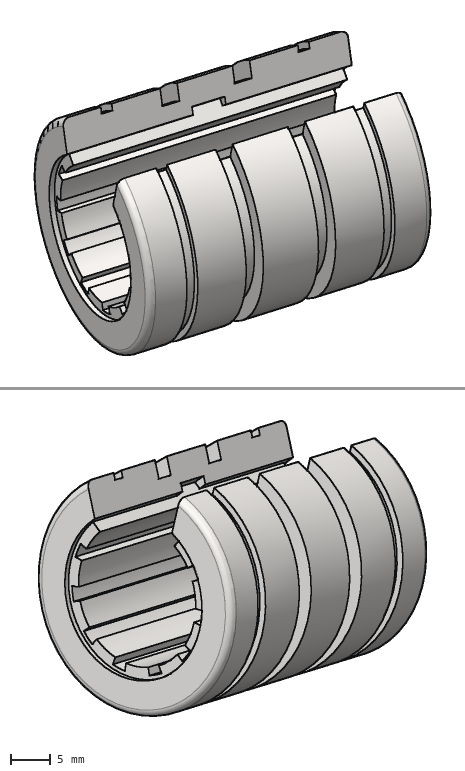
import cadquery as cq
import math

length = 41.3
outer_diameter = 31.75
outer_radius = outer_diameter / 2
bore_radius = 11.1
end_fillet = 1.0
opening_half_angle = 15.0
opening_apex_z = -14.1

ring_groove_radius = 14.95
ring_groove_width = 1.55
ring_groove_offset = 14.3
seal_groove_radius = 13.45
seal_groove_width = 2.48
seal_groove_offset = 5.25

liner_length = 39.7
liner_inner_radius = 9.5
collar_radius = 12.18
collar_width = 4.75
liner_opening_half_angle = 45.0
liner_opening_apex_z = 1.32

pad_pitch_count = 11
slot_floor_radius = 10.55
slot_angle = 11.0
pad_pitch = 360 / pad_pitch_count

wedge_height = 2 * length


def cylinder(radius, width, y_center=0.0):
    """Solid cylinder along Y, centred on y_center."""
    disc = cq.Workplane("XZ").circle(radius).extrude(width / 2, both=True)
    return disc.translate((0, y_center, 0))


def ring(outer, inner, width, y_center=0.0):
    """Tube along Y, centred on y_center."""
    return cylinder(outer, width, y_center).cut(cylinder(inner, width, y_center))


def wedge(half_angle, apex_z):
    """Full-length prism that widens upward from a line parallel to Y."""
    half_width = wedge_height * math.tan(math.radians(half_angle))
    top_z = apex_z + wedge_height
    return (
        cq.Workplane("XZ")
        .polyline([(0, apex_z), (half_width, top_z), (-half_width, top_z)])
        .close()
        .extrude(length, both=True)
    )


def liner_slot(center_angle):
    """Radial-walled slot from the axis to the slot floor, at an angle from -Z."""
    half_width = slot_floor_radius * math.sin(math.radians(slot_angle / 2))
    floor_corner_z = -slot_floor_radius * math.cos(math.radians(slot_angle / 2))
    slot = (
        cq.Workplane("XZ")
        .lineTo(-half_width, floor_corner_z)
        .threePointArc((0, -slot_floor_radius), (half_width, floor_corner_z))
        .close()
        .extrude(liner_length / 2, both=True)
    )
    return slot.rotate((0, 0, 0), (0, 1, 0), center_angle)


def upper_half():
    """Block covering everything above the axis."""
    size = 2 * length
    return cq.Workplane("XY").box(size, size, size, centered=(True, True, False))


def make_housing():
    body = cylinder(outer_radius, length).edges("%CIRCLE").fillet(end_fillet)
    body = body.cut(cylinder(bore_radius, length))
    body = body.cut(cylinder(collar_radius, collar_width))
    for side in (-1, 1):
        ring_groove_y = side * ring_groove_offset
        seal_groove_y = side * seal_groove_offset
        body = body.cut(ring(outer_radius, ring_groove_radius, ring_groove_width, ring_groove_y))
        body = body.cut(ring(outer_radius, seal_groove_radius, seal_groove_width, seal_groove_y))
    opening = wedge(opening_half_angle, opening_apex_z).intersect(upper_half())
    return body.cut(opening)


def make_liner():
    body = cylinder(bore_radius, liner_length).union(cylinder(collar_radius, collar_width))
    body = body.cut(cylinder(liner_inner_radius, liner_length))
    for index in range(pad_pitch_count):
        body = body.cut(liner_slot((index + 0.5) * pad_pitch))
    return body.cut(wedge(liner_opening_half_angle, liner_opening_apex_z))


housing = make_housing()
liner = make_liner()

result = cq.Compound.makeCompound([housing.val(), liner.val()])